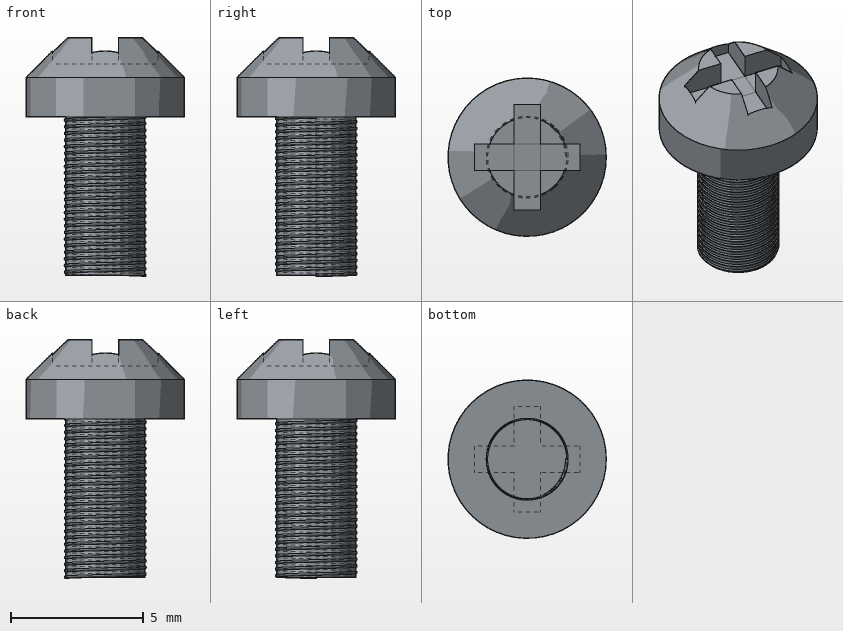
import cadquery as cq

head_diameter = 6.0
head_radius = head_diameter / 2
head_height = 3.0
rim_height = head_height / 2
head_top_radius = head_radius - (head_height - rim_height)

shank_diameter = 3.0
shank_radius = shank_diameter / 2
shank_length = 6.0
total_length = shank_length + head_height

thread_pitch = 0.25
thread_bead_radius = 0.05

recess_length = 4.0
recess_width = 1.0
recess_depth = 1.0


def make_blank():
    """Head and plain shank, revolved about Z."""
    rim_top = shank_length + rim_height
    half_profile = (
        cq.Workplane("XZ")
        .moveTo(0, 0)
        .lineTo(shank_radius, 0)
        .lineTo(shank_radius, shank_length)
        .lineTo(head_radius, shank_length)
        .lineTo(head_radius, rim_top)
        .lineTo(head_top_radius, total_length)
        .lineTo(0, total_length)
        .close()
    )
    return half_profile.revolve()


def make_thread():
    """Right-handed helical bead that starts on +X at the tip and ends at the head."""
    helix = cq.Wire.makeHelix(thread_pitch, shank_length, shank_radius)
    return (
        cq.Workplane("XZ")
        .center(shank_radius, 0)
        .circle(thread_bead_radius)
        .sweep(cq.Workplane(obj=helix), isFrenet=True)
    )


def make_recess():
    """Two crossing bars that are cut down from the top face."""
    floor = cq.Workplane("XY").workplane(offset=total_length - recess_depth)
    bar_along_x = floor.rect(recess_length, recess_width).extrude(recess_depth)
    bar_along_y = floor.rect(recess_width, recess_length).extrude(recess_depth)
    return bar_along_x.union(bar_along_y, clean=False)


recessed_blank = make_blank().cut(make_recess(), clean=False)
result = recessed_blank.union(make_thread(), clean=False)